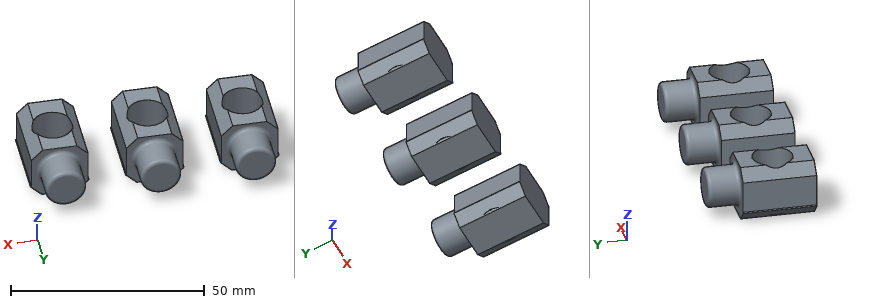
import cadquery as cq

stud_count = 3
row_length = 65.4
lip_width = 15.45
pitch = (row_length - lip_width) / (stud_count - 1)

block_width = 15.0
block_height = 14.7
block_length = 19.5
corner_chamfer = 3.0
lip_slope_height = 0.25

shank_diameter = 10.5
shank_length = 8.5
shank_axis_height = block_height - 7.0
shank_round = 1.0

hole_diameter = shank_diameter
hole_center_y = 10.0
hole_floor_height = 0.5


def make_block():
    """Bar whose side walls end in a small outward lip above the lower chamfers."""
    half_side = block_width / 2
    half_lip = lip_width / 2
    half_top = half_side - corner_chamfer
    half_bottom = half_lip - corner_chamfer
    right_outline = [
        (half_bottom, 0),
        (half_lip, corner_chamfer),
        (half_side, corner_chamfer + lip_slope_height),
        (half_side, block_height - corner_chamfer),
        (half_top, block_height),
    ]
    left_outline = [(-x, z) for x, z in reversed(right_outline)]
    return cq.Workplane("XZ").polyline(right_outline + left_outline).close().extrude(-block_length)


def make_shank():
    """Revolved stub with a rounded tip and a concave fillet at its root."""
    radius = shank_diameter / 2
    root_y = block_length
    tip_y = block_length + shank_length
    return (
        cq.Workplane("XY", origin=(0, 0, shank_axis_height))
        .moveTo(0, root_y)
        .lineTo(radius + shank_round, root_y)
        .radiusArc((radius, root_y + shank_round), shank_round)
        .lineTo(radius, tip_y - shank_round)
        .radiusArc((radius - shank_round, tip_y), -shank_round)
        .lineTo(0, tip_y)
        .close()
        .revolve(360, (0, 0, 0), (0, 1, 0))
    )


def make_cross_hole():
    """Cutter for the flat-bottomed hole; it just breaks through the lower chamfers."""
    return (
        cq.Workplane("XY", origin=(0, hole_center_y, hole_floor_height))
        .circle(hole_diameter / 2)
        .extrude(block_height - hole_floor_height)
    )


def make_stud(center_x):
    stud = make_block().union(make_shank()).cut(make_cross_hole())
    return stud.translate((center_x, 0, 0))


first_center_x = -pitch * (stud_count - 1) / 2
studs = [make_stud(first_center_x + i * pitch) for i in range(stud_count)]

result = cq.Compound.makeCompound([stud.solids().val() for stud in studs])